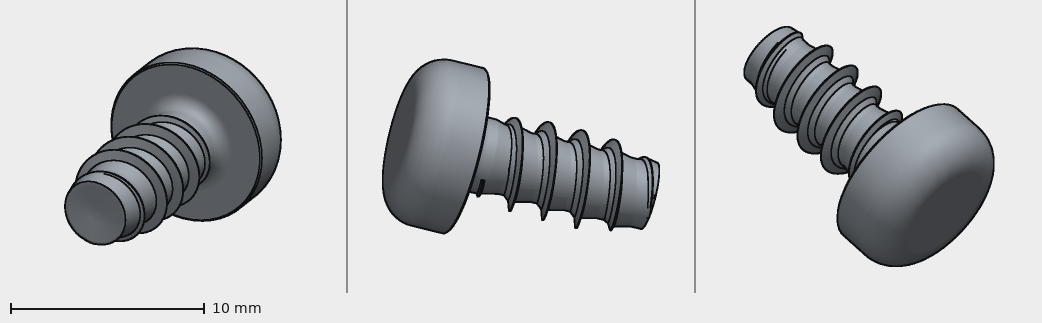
import cadquery as cq
import math

length = 13.49
head_radius = 4.4
head_height = 3.51
dome_radius = 1.75
rim_chamfer = 0.08

neck_radius = 1.98
neck_fillet = 0.7
neck_end = 4.72
core_radius = 1.74
core_start = 5.67
tip_recess_radius = 1.6
tip_recess_depth = 0.18

pitch = 1.8
first_crest_depth = 4.96
first_turn = -0.25
full_height_start = 1.0
full_height_end = 3.25
last_turn = 4.75
points_per_turn = 24
piece_turns = 0.5
crest_radius = 2.5
first_crest_radius = 2.08
last_crest_radius = 1.75
crest_width = 0.04
root_radius = 1.69
lead_foot_offset = -0.57
lead_bend_offset = -0.22
lead_bend_rise = 0.35
trail_bend_offset = 0.12
trail_bend_radius = 1.94
trail_bend_drop = 0.04
trail_foot_offset = 1.21


def make_body():
    """Head, neck and core, turned about the local Z axis with the tip at +Z."""
    return (
        cq.Workplane("XZ")
        .moveTo(0, 0)
        .lineTo(head_radius - dome_radius, 0)
        .radiusArc((head_radius, dome_radius), -dome_radius)
        .lineTo(head_radius, head_height - rim_chamfer)
        .lineTo(head_radius - rim_chamfer, head_height)
        .lineTo(neck_radius + neck_fillet, head_height)
        .radiusArc((neck_radius, head_height + neck_fillet), neck_fillet)
        .lineTo(neck_radius, neck_end)
        .lineTo(core_radius, core_start)
        .lineTo(core_radius, length)
        .lineTo(tip_recess_radius, length)
        .lineTo(0, length - tip_recess_depth)
        .close()
        .revolve(360, (0, 0, 0), (0, 1, 0))
    )


def crest_radius_at(turn):
    """Crest radius, growing out of the neck and fading away at the tip."""
    if turn < full_height_start:
        share = (turn - first_turn) / (full_height_start - first_turn)
        return first_crest_radius + share * (crest_radius - first_crest_radius)
    if turn > full_height_end:
        share = (last_turn - turn) / (last_turn - full_height_end)
        return last_crest_radius + share * (crest_radius - last_crest_radius)
    return crest_radius


def ridge_corners(turn):
    """Corners of the ridge section in the half plane through the axis at a given turn."""
    local_radius = crest_radius_at(turn)
    height = local_radius - root_radius
    trail_bend_height = min(trail_bend_radius, local_radius - trail_bend_drop) - root_radius
    angle = 2 * math.pi * turn
    depth = first_crest_depth + pitch * turn
    section = (
        (lead_foot_offset, 0),
        (lead_bend_offset, lead_bend_rise),
        (-crest_width / 2, 1),
        (crest_width / 2, 1),
        (trail_bend_offset, trail_bend_height / height),
        (trail_foot_offset, 0),
    )
    corners = []
    for offset, rise in section:
        radius = root_radius + rise * height
        corners.append(cq.Vector(radius * math.cos(angle), radius * math.sin(angle), depth + offset))
    return corners


def make_ridge_piece(start_turn):
    """Half-turn of solid ridge: ruled strips between the helical edges, closed by flat ends."""
    steps = round(piece_turns * points_per_turn)
    sections = [ridge_corners(start_turn + step / points_per_turn) for step in range(steps + 1)]
    edges = [cq.Edge.makeSpline(list(points)) for points in zip(*sections)]
    faces = []
    for index, edge in enumerate(edges):
        faces.append(cq.Face.makeRuledSurface(edge, edges[index - 1]))
    for corners in (sections[0], sections[-1]):
        faces.append(cq.Face.makeFromWires(cq.Wire.makePolygon(corners, close=True)))
    ridge = cq.Workplane(cq.Solid.makeSolid(cq.Shell.makeShell(faces)))
    beyond_tip = cq.Workplane("XY", origin=(0, 0, length)).circle(head_radius).extrude(pitch)
    return ridge.cut(beyond_tip)


screw = make_body()
for piece in range(round((last_turn - first_turn) / piece_turns)):
    screw = screw.union(make_ridge_piece(first_turn + piece * piece_turns))

result = screw.rotate((0, 0, 0), (1, 0, 0), 90).translate((0, length / 2, 0))